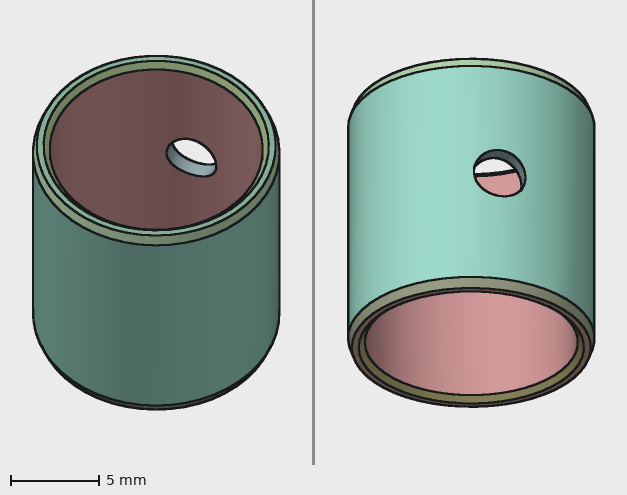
import cadquery as cq
import math

length = 15.0
outer_diameter = 14.0
outer_radius = outer_diameter / 2
bore_radius = 6.05

lead_height = 0.6
lead_angle = 20.0
lead_width = lead_height * math.tan(math.radians(lead_angle))
bore_chamfer = 0.35

oil_hole_radius = 1.5


def make_sleeve():
    """Revolve the wall section, with both ends chamfered inside and out."""
    half_length = length / 2
    wall_section = [
        (bore_radius, half_length - bore_chamfer),
        (bore_radius + bore_chamfer, half_length),
        (outer_radius - lead_width, half_length),
        (outer_radius, half_length - lead_height),
        (outer_radius, lead_height - half_length),
        (outer_radius - lead_width, -half_length),
        (bore_radius + bore_chamfer, -half_length),
        (bore_radius, bore_chamfer - half_length),
    ]
    return cq.Workplane("XZ").polyline(wall_section).close().revolve(360, (0, 0), (0, 1))


def make_oil_hole():
    """Cylinder from the axis outward along +Y."""
    return cq.Workplane("XZ").circle(oil_hole_radius).extrude(-length)


result = make_sleeve().cut(make_oil_hole())